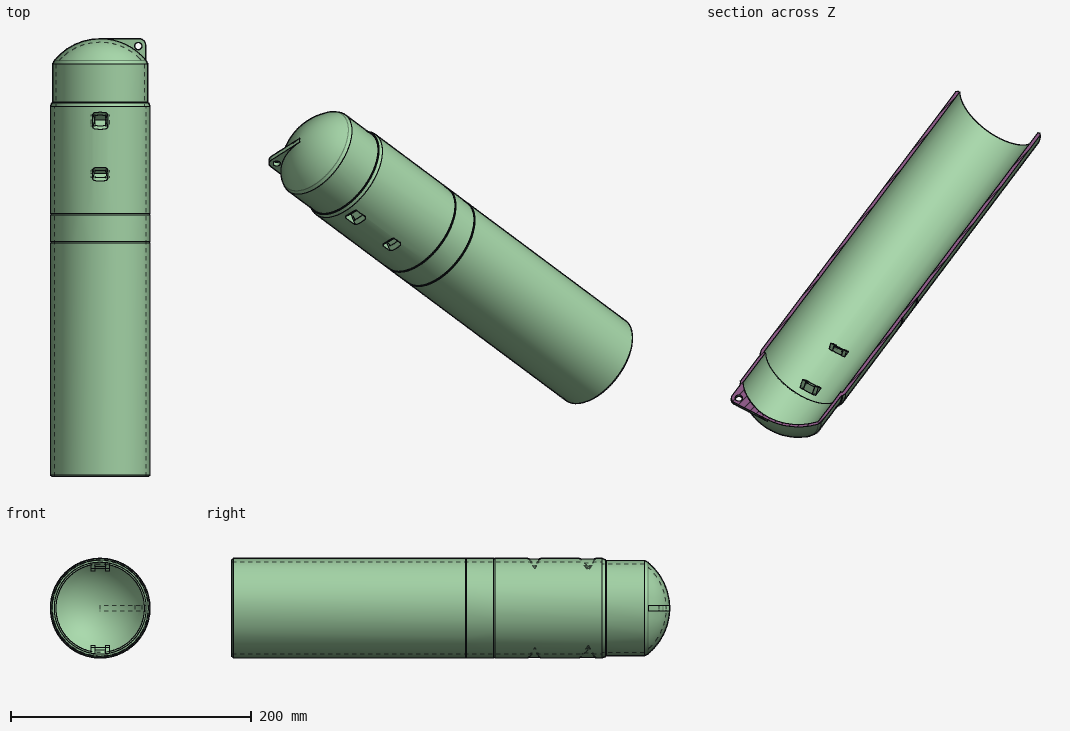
import cadquery as cq
import math

total_length = 364.0

tube_radius = 83.0 / 2
mouth_bore_radius = 76.5 / 2
inner_bore_radius = 73.5 / 2
tube_end = 310.5
mouth_chamfer = 1.5
shoulder_chamfer_length = 3.0
shoulder_chamfer_depth = 1.0
bore_step = 307.5
root_chamfer_length = 0.7
root_chamfer_width = 0.5

groove_places = (194.8, 218.0)
groove_width = 1.0
groove_depth = 0.5

cap_radius = 79.5 / 2
cap_chamfer_start = 343.0
dome_base = 346.0
dome_base_radius = 76.5 / 2
dome_wall = 3.0
dome_height = total_length - dome_base
dome_radius = (dome_base_radius**2 + dome_height**2) / (2 * dome_height)
dome_centre = total_length - dome_radius

lug_edge = 38.0
lug_thickness = 4.5
lug_corner_radius = 5.5
lug_hole_diameter = 6.0
lug_hole_x = 31.5
lug_hole_y = 358.0

pockets = (
    (288.7, 296.5, 303.0, 34.5),
    (245.8, 252.0, 257.0, 36.5),
)
pocket_rim_width = 13.0
pocket_floor_width = 8.7
pocket_floor_radius = 34.2
pocket_corner_radius = 3.3
pocket_overshoot = 3.5

backing_width = 15.3
web_width = 8.7
web_thickness = 2.0
cheek_thickness = 3.5
backing_outer_radius = 39.0


def revolve_about_y(profile):
    return profile.close().revolve(360, (0, 0, 0), (0, 1, 0))


def make_outer_body():
    mid_angle = math.asin(dome_base_radius / dome_radius) / 2
    dome_mid = (dome_radius * math.sin(mid_angle), dome_centre + dome_radius * math.cos(mid_angle))
    return revolve_about_y(
        cq.Workplane("XY")
        .moveTo(0, 0)
        .lineTo(tube_radius - mouth_chamfer, 0)
        .lineTo(tube_radius, mouth_chamfer)
        .lineTo(tube_radius, tube_end - shoulder_chamfer_length)
        .lineTo(tube_radius - shoulder_chamfer_depth, tube_end)
        .lineTo(cap_radius + root_chamfer_width, tube_end)
        .lineTo(cap_radius, tube_end + root_chamfer_length)
        .lineTo(cap_radius, cap_chamfer_start)
        .lineTo(dome_base_radius, dome_base)
        .threePointArc(dome_mid, (0, total_length))
    )


def make_cavity():
    radius = dome_radius - dome_wall
    end_angle = math.asin(inner_bore_radius / radius)
    dome_start = dome_centre + radius * math.cos(end_angle)
    dome_mid = (radius * math.sin(end_angle / 2), dome_centre + radius * math.cos(end_angle / 2))
    return revolve_about_y(
        cq.Workplane("XY")
        .moveTo(0, 0)
        .lineTo(mouth_bore_radius, 0)
        .lineTo(mouth_bore_radius, bore_step)
        .lineTo(inner_bore_radius, bore_step)
        .lineTo(inner_bore_radius, dome_start)
        .threePointArc(dome_mid, (0, dome_centre + radius))
    )


def make_groove(centre_y):
    floor_radius = tube_radius - groove_depth
    return (
        cq.Workplane("XZ", origin=(0, centre_y + groove_width / 2, 0))
        .circle(tube_radius + groove_depth)
        .circle(floor_radius)
        .extrude(groove_width)
    )


def make_lug():
    plate = (
        cq.Workplane("XY")
        .moveTo(0, dome_base)
        .lineTo(lug_edge, dome_base)
        .lineTo(lug_edge, total_length)
        .lineTo(0, total_length)
        .close()
        .extrude(lug_thickness / 2, both=True)
        .edges("|Z and >X and >Y")
        .fillet(lug_corner_radius)
    )
    return plate


def make_lug_hole():
    return (
        cq.Workplane("XY")
        .center(lug_hole_x, lug_hole_y)
        .circle(lug_hole_diameter / 2)
        .extrude(lug_thickness, both=True)
    )


def make_v_prism(front, valley, back, valley_radius, width):
    """Prism above a V-shaped floor, rising from the valley to the tube surface at both rims."""
    top = tube_radius + pocket_overshoot
    return (
        cq.Workplane("YZ")
        .moveTo(front, top)
        .lineTo(front, tube_radius)
        .lineTo(valley, valley_radius)
        .lineTo(back, tube_radius)
        .lineTo(back, top)
        .close()
        .extrude(width / 2, both=True)
    )


def make_pocket_backing(front, valley, back, valley_radius):
    web = make_v_prism(front, valley, back, valley_radius - web_thickness, web_width)
    cheeks = make_v_prism(front, valley, back, valley_radius - cheek_thickness, backing_width).cut(
        make_v_prism(front, valley, back, valley_radius - cheek_thickness, web_width)
    )
    inside_wall = cq.Workplane("XZ").circle(backing_outer_radius).extrude(-total_length)
    return cheeks.union(web).intersect(inside_wall)


def make_pocket(front, valley, back, valley_radius):
    """V-shaped pocket with sides that lean inward and rounded corners at its rim."""
    side_slope = (pocket_rim_width - pocket_floor_width) / 2 / (tube_radius - pocket_floor_radius)
    rim_half = pocket_rim_width / 2
    floor_half = pocket_floor_width / 2
    top_half = rim_half + side_slope * pocket_overshoot
    top = tube_radius + pocket_overshoot
    leaning_sides = (
        cq.Workplane("XZ")
        .polyline([
            (-floor_half, pocket_floor_radius),
            (floor_half, pocket_floor_radius),
            (top_half, top),
            (-top_half, top),
        ])
        .close()
        .extrude(-total_length)
    )
    rounded_rim = (
        cq.Workplane("XY")
        .center(0, (front + back) / 2)
        .rect(pocket_rim_width, back - front)
        .extrude(top)
        .edges("|Z")
        .fillet(pocket_corner_radius)
    )
    v_floor = make_v_prism(front, valley, back, valley_radius, pocket_rim_width)
    return v_floor.intersect(leaning_sides).intersect(rounded_rim)


def on_top_and_bottom(shape):
    return shape.union(shape.mirror("XY"))


outer_body = make_outer_body().union(make_lug()).cut(make_lug_hole())
result = outer_body.cut(make_cavity())
for groove_y in groove_places:
    result = result.cut(make_groove(groove_y))
for pocket in pockets:
    result = result.union(on_top_and_bottom(make_pocket_backing(*pocket)))
    result = result.cut(on_top_and_bottom(make_pocket(*pocket)))